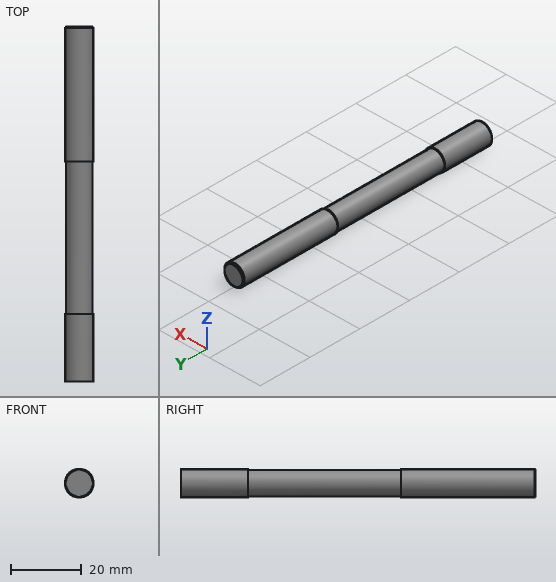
import cadquery as cq

length = 100.0
end_diameter = 8.0
neck_diameter = 7.5
front_end_length = 19.0
back_end_length = 38.0
front_chamfer = 0.1
back_chamfer = 0.4

neck_length = length - front_end_length - back_end_length


def rod(diameter, start, rod_length):
    """Cylinder along +Y that begins at Y = start."""
    return (
        cq.Workplane("XZ", origin=(0, start, 0))
        .circle(diameter / 2)
        .extrude(-rod_length)
    )


front_end = rod(end_diameter, 0, front_end_length)
front_end = front_end.faces("<Y").chamfer(front_chamfer)

neck = rod(neck_diameter, front_end_length, neck_length)

back_end = rod(end_diameter, length - back_end_length, back_end_length)
back_end = back_end.faces(">Y").chamfer(back_chamfer)

result = front_end.union(neck).union(back_end)